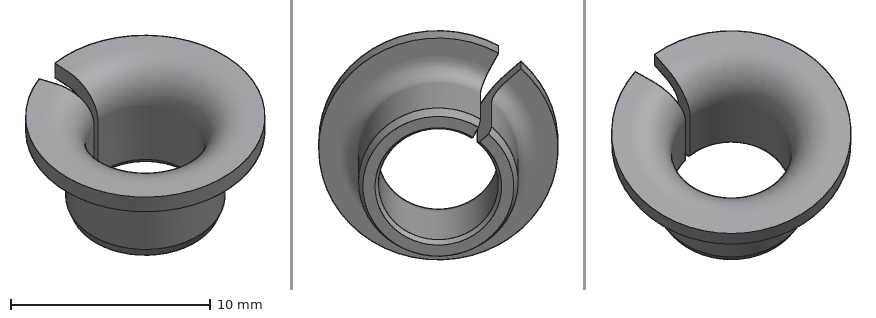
import cadquery as cq
import math

total_height = 6.0
flange_radius = 6.0
flange_thickness = 1.0
body_radius = 4.0
bore_radius = 3.0
mouth_radius = 2.0
collar_fillet = 1.0
lead_in_height = 0.6
lead_in_angle = 20.0
bore_taper_height = 0.3
bore_taper_angle = 30.0
slit_half_angle = 10.0
slit_apex_radius = 2.0
slit_overrun = 1.0


def arc_middle(center_r, center_z, radius):
    """Middle of a quarter arc lying up and toward the axis from its center."""
    offset = radius * math.sqrt(0.5)
    return (center_r - offset, center_z + offset)


def make_bushing():
    """Revolve the flanged wall section (radius, height) around Z."""
    tip_radius = body_radius - lead_in_height * math.tan(math.radians(lead_in_angle))
    bore_end_radius = bore_radius + bore_taper_height * math.tan(math.radians(bore_taper_angle))
    flange_bottom = total_height - flange_thickness
    mouth_edge = bore_radius + mouth_radius
    mouth_start = total_height - mouth_radius
    collar_edge = body_radius + collar_fillet
    collar_start = flange_bottom - collar_fillet
    collar_middle = arc_middle(collar_edge, collar_start, collar_fillet)
    mouth_middle = arc_middle(mouth_edge, mouth_start, mouth_radius)
    section = (
        cq.Workplane("XZ")
        .moveTo(bore_end_radius, 0)
        .lineTo(tip_radius, 0)
        .lineTo(body_radius, lead_in_height)
        .lineTo(body_radius, collar_start)
        .threePointArc(collar_middle, (collar_edge, flange_bottom))
        .lineTo(flange_radius, flange_bottom)
        .lineTo(flange_radius, total_height)
        .lineTo(mouth_edge, total_height)
        .threePointArc(mouth_middle, (bore_radius, mouth_start))
        .lineTo(bore_radius, bore_taper_height)
        .close()
    )
    bushing = section.revolve(360, (0, 0, 0), (0, 1, 0))
    return bushing.rotate((0, 0, 0), (0, 0, 1), 180)


def make_slit():
    """Wedge that splits the wall on the -X side, widening outward."""
    outer_x = -(flange_radius + slit_overrun)
    half_width = (-outer_x - slit_apex_radius) * math.tan(math.radians(slit_half_angle))
    return (
        cq.Workplane("XY")
        .polyline([(-slit_apex_radius, 0), (outer_x, half_width), (outer_x, -half_width)])
        .close()
        .extrude(total_height)
    )


result = make_bushing().cut(make_slit())